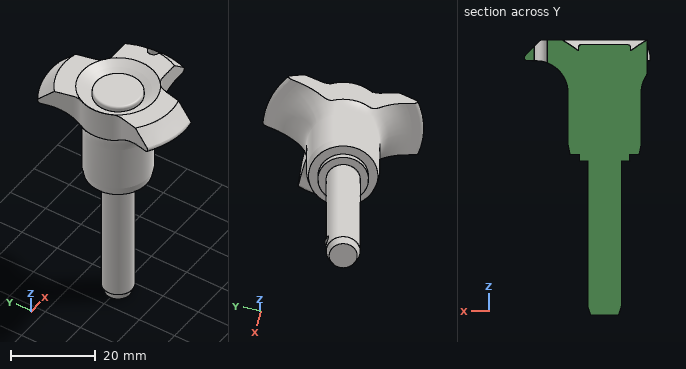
import cadquery as cq
import math

TOTAL_HEIGHT = 64.9
TIP_BEVEL_TOP = 2.1
COLLAR_BOTTOM = 36.3
BODY_BOTTOM = 37.85
BODY_BEVEL_TOP = 40.05
FLARE_BOTTOM = 52.3
ARM_UNDERSIDE = 59.9

TIP_RADIUS = 3.3
PIN_RADIUS = 4.0
COLLAR_RADIUS = 6.0
BODY_BOTTOM_RADIUS = 8.2
BODY_RADIUS = 8.6
ARM_REACH = 19.0
NOSE_RADIUS = 0.8
TOP_RADIUS = 15.1

ARM_HALF_WIDTH = 7.0
SIDE_ARM_ANGLE = 103.0
HUB_RADIUS = 10.05
CORNER_RADIUS = 3.7
OUTLINE_MARGIN = 0.65

DISH_RADIUS = 10.0
DISH_STEP_RADIUS = 8.05
DISH_STEP_DEPTH = 1.25
DISH_FLOOR_DEPTH = 2.5
BUTTON_RADIUS = 6.15
BUTTON_EDGE_RADIUS = 0.65
BUTTON_DROP = 1.1

HOLE_OFFSET = 15.05
HOLE_RADIUS = 1.5
BALL_RADIUS = 1.7
BALL_PROTRUSION = 0.4
BALL_HEIGHT = 5.45


def polar(radius, degrees, center=(0.0, 0.0)):
    angle = math.radians(degrees)
    return (center[0] + radius * math.cos(angle), center[1] + radius * math.sin(angle))


def side_arm_point(along, across):
    """Point in the frame of the +Y side arm; positive across is toward -X."""
    return polar(across, SIDE_ARM_ANGLE + 90, polar(along, SIDE_ARM_ANGLE))


def turned_envelope():
    """Pin, collar, body and flared head as one solid of revolution."""
    flare_radius = ARM_UNDERSIDE - FLARE_BOTTOM
    flare_center = (BODY_RADIUS + flare_radius, FLARE_BOTTOM)
    nose_center = (ARM_REACH - NOSE_RADIUS, ARM_UNDERSIDE + NOSE_RADIUS)
    run = TOP_RADIUS - nose_center[0]
    rise = TOTAL_HEIGHT - nose_center[1]
    tangent_angle = math.degrees(math.atan2(rise, run) - math.acos(NOSE_RADIUS / math.hypot(run, rise)))
    return (
        cq.Workplane("XZ")
        .moveTo(0, 0)
        .lineTo(TIP_RADIUS, 0)
        .lineTo(PIN_RADIUS, TIP_BEVEL_TOP)
        .lineTo(PIN_RADIUS, COLLAR_BOTTOM)
        .lineTo(COLLAR_RADIUS, COLLAR_BOTTOM)
        .lineTo(COLLAR_RADIUS, BODY_BOTTOM)
        .lineTo(BODY_BOTTOM_RADIUS, BODY_BOTTOM)
        .lineTo(BODY_RADIUS, BODY_BEVEL_TOP)
        .lineTo(BODY_RADIUS, FLARE_BOTTOM)
        .threePointArc(polar(flare_radius, 135, flare_center), (flare_center[0], ARM_UNDERSIDE))
        .lineTo(nose_center[0], ARM_UNDERSIDE)
        .threePointArc((ARM_REACH, nose_center[1]), polar(NOSE_RADIUS, tangent_angle, nose_center))
        .lineTo(TOP_RADIUS, TOTAL_HEIGHT)
        .lineTo(0, TOTAL_HEIGHT)
        .close()
        .revolve(360, (0, 0), (0, 1))
    )


def arm_prism():
    """Vertical prism with the three-armed plan outline, symmetric about XZ."""
    arm_end = ARM_REACH + OUTLINE_MARGIN
    fillet_offset = ARM_HALF_WIDTH + CORNER_RADIUS

    back_along = math.sqrt((HUB_RADIUS + CORNER_RADIUS) ** 2 - fillet_offset**2)
    back_center = side_arm_point(back_along, fillet_offset)
    back_angle = SIDE_ARM_ANGLE + math.degrees(math.atan2(fillet_offset, back_along))
    back_middle = (back_angle - 180 + SIDE_ARM_ANGLE - 90) / 2

    half_gap = SIDE_ARM_ANGLE / 2
    front_along = fillet_offset / math.tan(math.radians(half_gap))
    front_center = (front_along, fillet_offset)

    half = (
        cq.Workplane("XY")
        .moveTo(-HUB_RADIUS, 0)
        .threePointArc(polar(HUB_RADIUS, (180 + back_angle) / 2), polar(HUB_RADIUS, back_angle))
        .threePointArc(
            polar(CORNER_RADIUS, back_middle, back_center),
            side_arm_point(back_along, ARM_HALF_WIDTH),
        )
        .lineTo(*side_arm_point(arm_end, ARM_HALF_WIDTH))
        .lineTo(*side_arm_point(arm_end, -ARM_HALF_WIDTH))
        .lineTo(*side_arm_point(front_along, -ARM_HALF_WIDTH))
        .threePointArc(
            polar(CORNER_RADIUS, half_gap + 180, front_center),
            (front_along, ARM_HALF_WIDTH),
        )
        .lineTo(arm_end, ARM_HALF_WIDTH)
        .lineTo(arm_end, 0)
        .close()
        .extrude(TOTAL_HEIGHT)
    )
    return half.union(half.mirror("XZ"))


def dish_cutter():
    """Ring-shaped conical dish that leaves the rounded push button standing."""
    button_top = TOTAL_HEIGHT - BUTTON_DROP
    flat_radius = BUTTON_RADIUS - BUTTON_EDGE_RADIUS
    edge_center = (flat_radius, button_top - BUTTON_EDGE_RADIUS)
    return (
        cq.Workplane("XZ")
        .moveTo(0, TOTAL_HEIGHT)
        .lineTo(DISH_RADIUS, TOTAL_HEIGHT)
        .lineTo(DISH_STEP_RADIUS, TOTAL_HEIGHT - DISH_STEP_DEPTH)
        .lineTo(BUTTON_RADIUS, TOTAL_HEIGHT - DISH_FLOOR_DEPTH)
        .lineTo(BUTTON_RADIUS, edge_center[1])
        .threePointArc(polar(BUTTON_EDGE_RADIUS, 45, edge_center), (flat_radius, button_top))
        .lineTo(0, button_top)
        .close()
        .revolve(360, (0, 0), (0, 1))
    )


def lanyard_hole():
    """Vertical hole through the +X arm, stopping well below the handle."""
    return (
        cq.Workplane("XY", origin=(HOLE_OFFSET, 0, FLARE_BOTTOM))
        .circle(HOLE_RADIUS)
        .extrude(TOTAL_HEIGHT - FLARE_BOTTOM)
    )


def locking_ball():
    """Ball standing slightly proud of the +Y side of the pin."""
    center_y = PIN_RADIUS + BALL_PROTRUSION - BALL_RADIUS
    return cq.Workplane("XY", origin=(0, center_y, BALL_HEIGHT)).sphere(BALL_RADIUS)


result = (
    turned_envelope()
    .intersect(arm_prism())
    .cut(dish_cutter())
    .cut(lanyard_hole())
    .union(locking_ball())
)